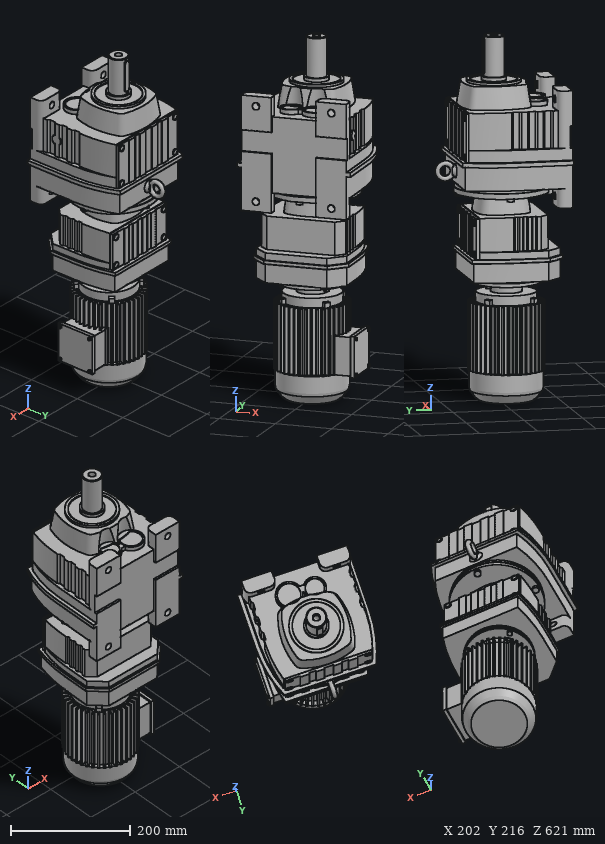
import cadquery as cq
TOTAL_HEIGHT = 621.0
CORNER_COUNT = 4
DIAGONAL = 45

STAGE_AXIS_Y = -12.5
MOTOR_AXIS_Y = -21.0

MAIN_TOP = 503.5
MAIN_STEP = 440.0
MAIN_FLANGE_TOP = 420.0
MAIN_FLANGE_BOTTOM = 412.5
MAIN_BOTTOM = 371.5
MAIN_COVER_STEP = 364.0
MAIN_COVER_BOTTOM = 354.5
FOOT_FACE_Y = -115.0
MAIN_HALF_WIDTH = 94.0
MAIN_CASE_HALF_WIDTH = 88.0
MAIN_CASE_BACK_Y = 61.0
MAIN_BACK_Y = 66.5
FLANGE_HALF_WIDTH = 202.0 / 2
FLANGE_BACK_Y = 72.0
MAIN_CASE_BACK_HALF_WIDTH = 79.0
MAIN_BACK_HALF_WIDTH = 76.5
FLANGE_BACK_HALF_WIDTH = 81.5
MAIN_ARC_START_Y = -18.0
MAIN_CASE_ARC_START_Y = 0.0

FOOT_TOP = 538.0
FOOT_BOTTOM = 338.0
FOOT_INNER_X = 40.0
FOOT_THICKNESS = 25.5
FOOT_ROUND = 11.0
FOOT_RELIEF = 4.5
FOOT_NOTCH_TOP = 477.5
FOOT_HOLE_X = 67.0
FOOT_HOLE_RADIUS = 6.0
FOOT_HOLE_INSET = 17.5

MAIN_GROOVE_CENTRES = (-19.0, -46.5, -73.0)
MAIN_GROOVE_WIDTH = 17.5
MAIN_GROOVE_DEPTH = 3.0
MAIN_GROOVE_FLANK = 4.0

NECK_TOP = 543.0
NECK_REACH = 61.0
NECK_CORNER = (53.5, 43.5)
NECK_TOP_SCALE = 0.9
NECK_CORNER_BULGE = 1.0
SEAT_RADIUS = 46.0
SEAT_TOP = 547.0
SEAT_RECESS_RADIUS = 40.5
SEAT_RECESS_DEPTH = 2.0

SHAFT_RADIUS = 17.5
SHAFT_LENGTH = 69.5
SHAFT_CHAMFER = 1.0
COLLAR_RADIUS = 21.0
CENTRE_HOLE_RADIUS = 6.0
CENTRE_HOLE_DEPTH = 15.5
KEY_WIDTH = 10.0
KEY_BOTTOM = 556.5
KEY_TOP = 616.0
KEY_OUTER_Y = 19.0

BOSS_TOP = 512.0
BOSS_RIM = 3.0
BOSS_RECESS = 1.0
BOSSES = ((-20.5, -67.5, 19.0), (24.0, -70.0, 23.0))
BOSS_WEB_FRONT_Y = -79.0
SCALLOP_DRAFT = 3.5

MAIN_COVER_RADIUS = 80.0
COVER_STEP_DEPTH = 1.0
MAIN_SCREW_CIRCLE = 72.5
MAIN_SCREW_RADIUS = 5.5
MAIN_SCREW_HEIGHT = 5.0

PLUG_Y = -62.0
PLUG_Z = (MAIN_TOP + MAIN_STEP) / 2
PLUG_RADIUS = 9.5

EYE_Z = 392.5
EYE_TUBE_RADIUS = 4.65
EYE_RING_RADIUS = 13.0
EYE_TOP_Y = 101.0
EYE_BASE_RADIUS = 12.0
EYE_BASE_TIP_RADIUS = 7.5

MID_TOP = 322.0
MID_STEP = 264.5
MID_FLANGE_TOP = 252.0
MID_FLANGE_BOTTOM = 246.0
MID_BOTTOM = 212.5
MID_COVER_STEP = 207.0
MID_COVER_BOTTOM = 200.5
MID_CASE_HALF_WIDTH = 75.0
MID_HALF_WIDTH = 81.0
MID_FLANGE_HALF_WIDTH = 84.5
MID_CASE_FRONT_Y = -79.5
MID_FRONT_Y = -102.0
MID_FLANGE_FRONT_Y = -105.5
MID_CASE_BACK_Y = 40.5
MID_BACK_Y = 50.0
MID_FLANGE_BACK_Y = 54.0
MID_CASE_BACK_HALF_WIDTH = 71.0
MID_BACK_HALF_WIDTH = 70.0
MID_FLANGE_BACK_HALF_WIDTH = 73.0
MID_CASE_CHAMFER = 15.0
MID_CHAMFER = 26.0
MID_FLANGE_CHAMFER = 28.0
MID_ARC_START_Y = -25.5
MID_CASE_ARC_START_Y = -12.5

MID_GROOVE_CENTRES = (-22.5, -37.0, -53.0)
MID_GROOVE_WIDTH = 10.0
MID_GROOVE_DEPTH = 2.5
MID_GROOVE_FLANK = 2.5

MID_NECK_REACH = 48.0
MID_NECK_CORNER = (43.0, 31.0)
MID_COVER_RADIUS = 60.0
MID_SCREW_CIRCLE = 55.0
MID_SCREW_RADIUS = 4.5
MID_SCREW_HEIGHT = 4.0

MAIN_PLATE_HALF_WIDTH = 77.0
MAIN_PLATE_RIDGES = ((8.0, 23.0), (35.0, 51.0))
MID_PLATE_HALF_WIDTH = 69.5
MID_PLATE_RIDGES = ((6.0, 18.5), (28.5, 41.0))
MID_PLATE_BACK_Y = 48.0
PLATE_RIDGE = 2.0
PLATE_TOP_DROP = 1.0
PLATE_SCREW_RADIUS = 5.5
PLATE_SCREW_INSET = 7.5

SPIGOT_RADIUS = 27.0
MOTOR_FLANGE_TOP = 184.5
MOTOR_FLANGE_RADIUS = 51.5
FIN_TOP = 167.5
FIN_BOTTOM = 51.5
FIN_RADIUS = 64.5
FIN_ROOT_RADIUS = 54.5
FIN_COUNT = 40
FIN_WIDTH = 3.0
COWL_RADIUS = 63.0
COWL_SHOULDER_Z = 22.0
COWL_EDGE = ((61.5, 16.0), (53.0, 4.5), (47.0, 0.0))
LUG_OUTER_RADIUS = 59.0
LUG_WIDTH = 10.0
LUG_HEIGHT = 9.5

BOX_TOP = 118.5
BOX_HALF_DEPTH = 35.0
BOX_OUTER_X = 81.0
LID_OUTER_X = 87.5
LID_OVERHANG = 2.5
LID_SCREW_RADIUS = 2.5
LID_SCREW_HEIGHT = 3.0
LID_SCREW_INSET = 5.0


def disc(radius, bottom, top, x=0.0, y=0.0):
    return cq.Workplane("XY", origin=(x, y, bottom)).circle(radius).extrude(top - bottom)


def block(x_range, y_range, z_range):
    corner = (x_range[0], y_range[0], z_range[0])
    lengths = [high - low for low, high in (x_range, y_range, z_range)]
    return cq.Workplane("XY", origin=corner).box(*lengths, centered=False)


def case_slab(bottom, top, half_width, front, back, back_half_width, arc_start, chamfer=0.0):
    """Slab with straight sides that curve inward toward the back; the front corners may be chamfered."""
    outline = cq.Workplane("XY", origin=(0, 0, bottom)).moveTo(0, front).lineTo(half_width - chamfer, front)
    if chamfer:
        outline = outline.lineTo(half_width, front + chamfer)
    outline = (
        outline.lineTo(half_width, arc_start)
        .tangentArcPoint((back_half_width, back), relative=False)
        .lineTo(0, back)
        .mirrorY()
    )
    return outline.extrude(top - bottom)


def side_grooves(centres, half_width, width, depth, flank, bottom, top):
    """Vertical trapezoidal grooves in both sides of a case."""
    grooves = cq.Workplane("XY")
    for centre in centres:
        for side in (-1, 1):
            face = side * half_width
            floor = side * (half_width - depth)
            profile = [
                (face, centre - width / 2),
                (floor, centre - width / 2 + flank),
                (floor, centre + width / 2 - flank),
                (face, centre + width / 2),
            ]
            outline = cq.Workplane("XY", origin=(0, 0, bottom)).polyline(profile).close()
            grooves = grooves.add(outline.extrude(top - bottom))
    return grooves.combine()


def neck_outline(workplane, reach, corner, scale):
    """Square with bulging sides and rounded corners."""
    reach = reach * scale
    far, near = corner[0] * scale, corner[1] * scale
    mid = (far + near) / 2 + NECK_CORNER_BULGE
    return (
        workplane.moveTo(far, -near)
        .threePointArc((reach, 0), (far, near))
        .threePointArc((mid, mid), (near, far))
        .threePointArc((0, reach), (-near, far))
        .threePointArc((-mid, mid), (-far, near))
        .threePointArc((-reach, 0), (-far, -near))
        .threePointArc((-mid, -mid), (-near, -far))
        .threePointArc((0, -reach), (near, -far))
        .threePointArc((mid, -mid), (far, -near))
        .close()
    )


def tapered_neck(reach, corner, bottom, top, y=0.0):
    base = neck_outline(cq.Workplane("XY", origin=(0, y, bottom)), reach, corner, 1.0)
    return neck_outline(base.workplane(offset=top - bottom), reach, corner, NECK_TOP_SCALE).loft(ruled=True)


def inspection_plate(case_back, plate_back, half_width, ridges, bottom, case_top):
    """Plate on the back of a case, just below its top, with ridges and a screw head in each corner."""
    face = plate_back - PLATE_RIDGE
    top = case_top - PLATE_TOP_DROP
    plate = block((-half_width, half_width), (case_back - PLATE_RIDGE, face), (bottom, top))
    for inner, outer in ridges:
        for side in (-1, 1):
            span = sorted((side * inner, side * outer))
            plate = plate.union(block(span, (case_back, plate_back), (bottom, top)))
    for x in (PLATE_SCREW_INSET - half_width, half_width - PLATE_SCREW_INSET):
        for z in (bottom + PLATE_SCREW_INSET, top - PLATE_SCREW_INSET):
            head = cq.Workplane("XZ", origin=(x, plate_back, z)).circle(PLATE_SCREW_RADIUS)
            plate = plate.union(head.extrude(2 * PLATE_RIDGE))
    return plate


def screw_heads(circle, radius, cover_bottom, height, first_angle, y):
    """Ring of screw heads below a round cover."""
    return (
        cq.Workplane("XY", origin=(0, y, cover_bottom - height))
        .polarArray(circle, first_angle, 360, CORNER_COUNT)
        .circle(radius)
        .extrude(height)
    )


def main_case():
    upper = case_slab(
        MAIN_STEP, MAIN_TOP, MAIN_CASE_HALF_WIDTH, FOOT_FACE_Y,
        MAIN_CASE_BACK_Y, MAIN_CASE_BACK_HALF_WIDTH, MAIN_CASE_ARC_START_Y,
    )
    grooves = side_grooves(
        MAIN_GROOVE_CENTRES, MAIN_CASE_HALF_WIDTH, MAIN_GROOVE_WIDTH, MAIN_GROOVE_DEPTH, MAIN_GROOVE_FLANK,
        MAIN_STEP, MAIN_TOP,
    )
    step = case_slab(
        MAIN_FLANGE_BOTTOM, MAIN_STEP, MAIN_HALF_WIDTH, FOOT_FACE_Y,
        MAIN_CASE_BACK_Y, MAIN_CASE_BACK_HALF_WIDTH, MAIN_ARC_START_Y,
    )
    flange = case_slab(
        MAIN_FLANGE_BOTTOM, MAIN_FLANGE_TOP, FLANGE_HALF_WIDTH, FOOT_FACE_Y,
        FLANGE_BACK_Y, FLANGE_BACK_HALF_WIDTH, MAIN_ARC_START_Y,
    )
    lower = case_slab(
        MAIN_BOTTOM, MAIN_FLANGE_BOTTOM, MAIN_HALF_WIDTH, FOOT_FACE_Y,
        MAIN_BACK_Y, MAIN_BACK_HALF_WIDTH, MAIN_ARC_START_Y,
    )
    plate = inspection_plate(
        MAIN_CASE_BACK_Y, MAIN_BACK_Y, MAIN_PLATE_HALF_WIDTH, MAIN_PLATE_RIDGES, MAIN_FLANGE_TOP, MAIN_TOP
    )
    return upper.cut(grooves).union(step).union(flange).union(lower).union(plate)


def foot_pads():
    """Two upright pads, rounded along their rear edges; the case covers them between its step and bottom."""
    pads = cq.Workplane("XY")
    for side in (-1, 1):
        span = sorted((side * FOOT_INNER_X, side * MAIN_HALF_WIDTH))
        pad = block(span, (FOOT_FACE_Y, FOOT_FACE_Y + FOOT_THICKNESS), (FOOT_BOTTOM, FOOT_TOP))
        pads = pads.add(pad.edges("|Z and >Y").fillet(FOOT_ROUND))
    return pads.combine()


def foot_cuts():
    relief_y = (FOOT_FACE_Y, FOOT_FACE_Y + FOOT_RELIEF)
    cuts = block((-FOOT_INNER_X, FOOT_INNER_X), relief_y, (MAIN_BOTTOM, MAIN_TOP))
    cuts = cuts.union(block((-MAIN_HALF_WIDTH, MAIN_HALF_WIDTH), relief_y, (MAIN_STEP, FOOT_NOTCH_TOP)))
    hole_points = [
        (x, z)
        for x in (-FOOT_HOLE_X, FOOT_HOLE_X)
        for z in (FOOT_BOTTOM + FOOT_HOLE_INSET, FOOT_TOP - FOOT_HOLE_INSET)
    ]
    holes = cq.Workplane("XZ", origin=(0, FOOT_FACE_Y, 0)).pushPoints(hole_points)
    return cuts.union(holes.circle(FOOT_HOLE_RADIUS).extrude(-FOOT_THICKNESS))


def output_neck():
    """Tapered neck scalloped above the two bosses, with the recessed seal seat on top."""
    neck = tapered_neck(NECK_REACH, NECK_CORNER, MAIN_TOP, NECK_TOP)
    for x, y, radius in BOSSES:
        scallop = cq.Workplane("XY", origin=(x, y, BOSS_TOP)).circle(radius)
        neck = neck.cut(scallop.extrude(NECK_TOP - BOSS_TOP, taper=SCALLOP_DRAFT))
    seat = disc(SEAT_RADIUS, NECK_TOP, SEAT_TOP)
    recess = disc(SEAT_RECESS_RADIUS, SEAT_TOP - SEAT_RECESS_DEPTH, SEAT_TOP)
    return neck.union(seat.cut(recess))


def bosses():
    """Two joined round bosses with a shallow recess in each top."""
    (left_x, left_y, _), (right_x, _, _) = BOSSES
    joined = block((left_x, right_x), (BOSS_WEB_FRONT_Y, left_y), (MAIN_TOP, BOSS_TOP))
    for x, y, radius in BOSSES:
        joined = joined.union(disc(radius, MAIN_TOP, BOSS_TOP, x, y))
    for x, y, radius in BOSSES:
        joined = joined.cut(disc(radius - BOSS_RIM, BOSS_TOP - BOSS_RECESS, BOSS_TOP, x, y))
    return joined


def output_shaft():
    shoulder = TOTAL_HEIGHT - SHAFT_LENGTH
    shaft = disc(SHAFT_RADIUS, shoulder, TOTAL_HEIGHT).faces(">Z").chamfer(SHAFT_CHAMFER)
    collar = disc(COLLAR_RADIUS, NECK_TOP, shoulder)
    hole = disc(CENTRE_HOLE_RADIUS, TOTAL_HEIGHT - CENTRE_HOLE_DEPTH, TOTAL_HEIGHT)
    tip = cq.Solid.makeCone(
        CENTRE_HOLE_RADIUS, 0, CENTRE_HOLE_RADIUS,
        pnt=cq.Vector(0, 0, TOTAL_HEIGHT - CENTRE_HOLE_DEPTH), dir=cq.Vector(0, 0, -1),
    )
    key = (
        cq.Workplane("XZ", origin=(0, KEY_OUTER_Y, (KEY_TOP + KEY_BOTTOM) / 2))
        .slot2D(KEY_TOP - KEY_BOTTOM, KEY_WIDTH, 90)
        .extrude(KEY_OUTER_Y - SHAFT_RADIUS / 2)
    )
    return shaft.union(collar).union(key).cut(hole).cut(tip)


def main_cover():
    cover = disc(MAIN_COVER_RADIUS, MAIN_COVER_BOTTOM, MAIN_COVER_STEP, y=STAGE_AXIS_Y)
    rim = disc(MAIN_COVER_RADIUS - COVER_STEP_DEPTH, MAIN_COVER_STEP, MAIN_BOTTOM, y=STAGE_AXIS_Y)
    heads = screw_heads(
        MAIN_SCREW_CIRCLE, MAIN_SCREW_RADIUS, MAIN_COVER_BOTTOM, MAIN_SCREW_HEIGHT, 0, STAGE_AXIS_Y
    )
    return cover.union(rim).union(heads)


def oil_plug():
    inner_x = MAIN_CASE_HALF_WIDTH - 2 * MAIN_GROOVE_DEPTH
    plug = cq.Workplane("YZ", origin=(inner_x, PLUG_Y, PLUG_Z)).circle(PLUG_RADIUS)
    return plug.extrude(MAIN_CASE_HALF_WIDTH - inner_x)


def lifting_eye():
    ring_y = EYE_TOP_Y - EYE_RING_RADIUS - EYE_TUBE_RADIUS
    ring = cq.Solid.makeTorus(
        EYE_RING_RADIUS, EYE_TUBE_RADIUS, cq.Vector(0, ring_y, EYE_Z), cq.Vector(1, 0, 0)
    )
    base_length = ring_y - EYE_RING_RADIUS + EYE_TUBE_RADIUS / 2 - MAIN_BACK_Y
    base = cq.Solid.makeCone(
        EYE_BASE_RADIUS, EYE_BASE_TIP_RADIUS, base_length,
        pnt=cq.Vector(0, MAIN_BACK_Y, EYE_Z), dir=cq.Vector(0, 1, 0),
    )
    return cq.Workplane(ring).union(cq.Workplane(base))


def make_foot_gear_unit():
    unit = main_case().union(foot_pads()).cut(foot_cuts())
    for feature in (output_neck(), bosses(), output_shaft(), main_cover(), oil_plug(), lifting_eye()):
        unit = unit.union(feature)
    return unit


def intermediate_case():
    upper = case_slab(
        MID_STEP, MID_TOP, MID_CASE_HALF_WIDTH, MID_CASE_FRONT_Y,
        MID_CASE_BACK_Y, MID_CASE_BACK_HALF_WIDTH, MID_CASE_ARC_START_Y, MID_CASE_CHAMFER,
    )
    grooves = side_grooves(
        MID_GROOVE_CENTRES, MID_CASE_HALF_WIDTH, MID_GROOVE_WIDTH, MID_GROOVE_DEPTH, MID_GROOVE_FLANK,
        MID_STEP, MID_TOP,
    )
    step = case_slab(
        MID_FLANGE_BOTTOM, MID_STEP, MID_HALF_WIDTH, MID_FRONT_Y,
        MID_CASE_BACK_Y, MID_CASE_BACK_HALF_WIDTH, MID_ARC_START_Y, MID_CHAMFER,
    )
    flange = case_slab(
        MID_FLANGE_BOTTOM, MID_FLANGE_TOP, MID_FLANGE_HALF_WIDTH, MID_FLANGE_FRONT_Y,
        MID_FLANGE_BACK_Y, MID_FLANGE_BACK_HALF_WIDTH, MID_ARC_START_Y, MID_FLANGE_CHAMFER,
    )
    lower = case_slab(
        MID_BOTTOM, MID_FLANGE_BOTTOM, MID_HALF_WIDTH, MID_FRONT_Y,
        MID_BACK_Y, MID_BACK_HALF_WIDTH, MID_ARC_START_Y, MID_CHAMFER,
    )
    plate = inspection_plate(
        MID_CASE_BACK_Y, MID_PLATE_BACK_Y, MID_PLATE_HALF_WIDTH, MID_PLATE_RIDGES, MID_FLANGE_TOP, MID_TOP
    )
    return upper.cut(grooves).union(step).union(flange).union(lower).union(plate)


def intermediate_cover():
    cover = disc(MID_COVER_RADIUS, MID_COVER_BOTTOM, MID_COVER_STEP, y=MOTOR_AXIS_Y)
    rim = disc(MID_COVER_RADIUS - COVER_STEP_DEPTH, MID_COVER_STEP, MID_BOTTOM, y=MOTOR_AXIS_Y)
    heads = screw_heads(
        MID_SCREW_CIRCLE, MID_SCREW_RADIUS, MID_COVER_BOTTOM, MID_SCREW_HEIGHT, DIAGONAL, MOTOR_AXIS_Y
    )
    return cover.union(rim).union(heads)


def make_intermediate_gear_unit():
    neck = tapered_neck(MID_NECK_REACH, MID_NECK_CORNER, MID_TOP, MAIN_COVER_BOTTOM, STAGE_AXIS_Y)
    return intermediate_case().union(neck).union(intermediate_cover())


def cooling_fins():
    length = FIN_RADIUS - FIN_ROOT_RADIUS / 2
    return (
        cq.Workplane("XY", origin=(0, MOTOR_AXIS_Y, FIN_BOTTOM))
        .polarArray(FIN_RADIUS - length / 2, 0, 360, FIN_COUNT)
        .rect(length, FIN_WIDTH)
        .extrude(FIN_TOP - FIN_BOTTOM)
    )


def fan_cowl():
    profile = [(0, FIN_BOTTOM), (COWL_RADIUS, FIN_BOTTOM), (COWL_RADIUS, COWL_SHOULDER_Z), *COWL_EDGE, (0, 0)]
    section = cq.Workplane("XZ", origin=(0, MOTOR_AXIS_Y, 0)).polyline(profile).close()
    return section.revolve(360, (0, 0), (0, 1))


def flange_lugs():
    length = LUG_OUTER_RADIUS - MOTOR_FLANGE_RADIUS / 2
    return (
        cq.Workplane("XY", origin=(0, MOTOR_AXIS_Y, FIN_TOP))
        .polarArray(LUG_OUTER_RADIUS - length / 2, DIAGONAL, 360, CORNER_COUNT)
        .rect(length, LUG_WIDTH)
        .extrude(LUG_HEIGHT)
    )


def terminal_box():
    """Box on the +X side whose overhanging lid has a screw in each corner."""
    lid_half_depth = BOX_HALF_DEPTH + LID_OVERHANG
    box_y = (MOTOR_AXIS_Y - BOX_HALF_DEPTH, MOTOR_AXIS_Y + BOX_HALF_DEPTH)
    lid_y = (MOTOR_AXIS_Y - lid_half_depth, MOTOR_AXIS_Y + lid_half_depth)
    box = block((FIN_ROOT_RADIUS / 2, BOX_OUTER_X), box_y, (FIN_BOTTOM, BOX_TOP))
    lid = block((BOX_OUTER_X, LID_OUTER_X), lid_y, (FIN_BOTTOM - LID_OVERHANG, BOX_TOP + LID_OVERHANG))
    screw_spacing_y = 2 * (lid_half_depth - LID_SCREW_INSET)
    screw_spacing_z = BOX_TOP - FIN_BOTTOM + 2 * (LID_OVERHANG - LID_SCREW_INSET)
    screws = (
        cq.Workplane("YZ", origin=(LID_OUTER_X, MOTOR_AXIS_Y, (BOX_TOP + FIN_BOTTOM) / 2))
        .rect(screw_spacing_y, screw_spacing_z, forConstruction=True)
        .vertices()
        .circle(LID_SCREW_RADIUS)
        .extrude(LID_SCREW_HEIGHT)
    )
    return box.union(lid).union(screws)


def make_motor():
    motor = disc(FIN_ROOT_RADIUS, FIN_BOTTOM, FIN_TOP, y=MOTOR_AXIS_Y)
    spigot = disc(SPIGOT_RADIUS, MOTOR_FLANGE_TOP, MID_COVER_BOTTOM, y=MOTOR_AXIS_Y)
    flange = disc(MOTOR_FLANGE_RADIUS, FIN_TOP, MOTOR_FLANGE_TOP, y=MOTOR_AXIS_Y)
    for feature in (cooling_fins(), fan_cowl(), flange, spigot, flange_lugs(), terminal_box()):
        motor = motor.union(feature)
    return motor


foot_gear_unit = make_foot_gear_unit()
intermediate_gear_unit = make_intermediate_gear_unit()
motor = make_motor()

result = cq.Compound.makeCompound(
    [foot_gear_unit.solids().val(), intermediate_gear_unit.solids().val(), motor.solids().val()]
)